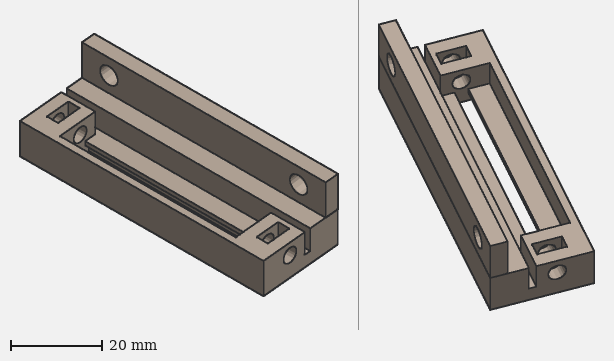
import cadquery as cq

plate_length = 72.0
base_length = 71.9
depth = 24.2
base_height = 10.0

plate_thickness = 4.0
plate_height = 10.0
plate_hole_diameter = 5.2
plate_hole_inset = 8.0

end_block_length = 10.0
front_wall = 2.0
channel_width = 13.2
channel_floor = 3.6
window_width = 3.25

underside_slot_width = 5.6
underside_slot_height = 2.4

channel_center_y = front_wall + channel_width / 2
channel_length = base_length - 2 * end_block_length

groove_width = 1.7

cross_hole_diameter = 4.2
cross_hole_z = 6.4
pocket_length_x = 3.3
pocket_length_y = 7.0


def box(size_x, size_y, size_z, center_x, center_y, bottom_z):
    """A box centred in X and Y that stands on the level bottom_z."""
    return (
        cq.Workplane("XY")
        .box(size_x, size_y, size_z, centered=(True, True, False))
        .translate((center_x, center_y, bottom_z))
    )


def make_base():
    base = box(base_length, depth, base_height, base_length / 2, depth / 2, 0)
    cut_height = base_height - channel_floor

    base = base.cut(
        box(channel_length, channel_width, cut_height, base_length / 2, channel_center_y, channel_floor)
    )
    base = base.cut(box(channel_length, window_width, base_height, base_length / 2, channel_center_y, 0))

    base = base.cut(
        box(channel_length, underside_slot_width, underside_slot_height, base_length / 2, channel_center_y, 0)
    )

    groove_center_y = front_wall + channel_width - groove_width / 2
    base = base.cut(
        box(base_length, groove_width, cut_height, base_length / 2, groove_center_y, channel_floor)
    )

    for center_x in (end_block_length / 2, base_length - end_block_length / 2):
        base = base.cut(box(pocket_length_x, pocket_length_y, base_height, center_x, channel_center_y, 0))

    cross_hole = cq.Solid.makeCylinder(
        cross_hole_diameter / 2,
        base_length,
        cq.Vector(0, channel_center_y, cross_hole_z),
        cq.Vector(1, 0, 0),
    )
    return base.cut(cq.Workplane(cross_hole))


def make_plate():
    center_y = depth - plate_thickness / 2
    plate = box(plate_length, plate_thickness, plate_height, plate_length / 2, center_y, base_height)

    for center_x in (plate_hole_inset, plate_length - plate_hole_inset):
        hole = cq.Solid.makeCylinder(
            plate_hole_diameter / 2,
            plate_thickness,
            cq.Vector(center_x, depth - plate_thickness, base_height + plate_height / 2),
            cq.Vector(0, 1, 0),
        )
        plate = plate.cut(cq.Workplane(hole))
    return plate


base = make_base()
plate = make_plate()
result = cq.Compound.makeCompound([base.solids().val(), plate.solids().val()])